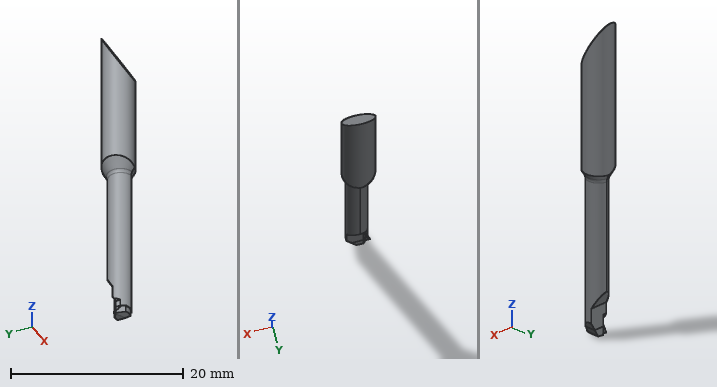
import cadquery as cq
import math


LENGTH = 40.7
SHANK_RADIUS = 2.0
NECK_RADIUS = 1.55
NECK_OFFSET = 0.5
TAPER_ANGLE = 30.0
NECK_TOP = 20.35
SHOULDER_FILLET = 0.98

TIP_HEIGHT = 1.22
FLAT_Y = 0.3
FLAT_HEIGHT = 4.15
HEEL_START = 2.3

CORNER_X = -1.42
RAKE_Y = -0.1
TIP_RADIUS = 1.42
TIP_ROOT_X = -0.9
HEEL_X = 0.33
HEEL_Z = 0.2
HEEL_SHOULDER_X = 0.53
HEEL_SHOULDER_Z = 0.53
RELIEF_X = -0.65
BACK_RISE = 0.35

FLUTE_X = -0.5
FLUTE_TOP = 2.73
FLUTE_RAKE_TOP = 2.1
NOTCH_TOP = 2.32

MARGIN = 2.05

slope = math.tan(math.radians(TAPER_ANGLE))
fillet_height = SHOULDER_FILLET * math.sin(math.radians(TAPER_ANGLE))
fillet_growth = SHOULDER_FILLET * (1 - math.cos(math.radians(TAPER_ANGLE)))
limit = SHANK_RADIUS + MARGIN


def neck_envelope(center_x):
    """Round neck that opens through a fillet and a cone, wider than the shank at its top."""
    half_angle = math.radians(TAPER_ANGLE / 2)
    fillet_middle = (
        NECK_RADIUS + SHOULDER_FILLET * (1 - math.cos(half_angle)),
        NECK_TOP + SHOULDER_FILLET * math.sin(half_angle),
    )
    cone_radius = NECK_RADIUS + fillet_growth
    cone_bottom = NECK_TOP + fillet_height
    cone_top = cone_bottom + (limit - cone_radius) / slope
    profile = (
        cq.Workplane("XZ")
        .lineTo(NECK_RADIUS, 0)
        .lineTo(NECK_RADIUS, NECK_TOP)
        .threePointArc(fillet_middle, (cone_radius, cone_bottom))
        .lineTo(limit, cone_top)
        .lineTo(limit, LENGTH)
        .lineTo(0, LENGTH)
        .close()
    )
    return profile.revolve(360, (0, 0, 0), (0, 1, 0)).translate((center_x, 0, 0))


def top_bevel():
    """Wedge above the slanted top face, which is highest on the +Y side."""
    drop = 2 * SHANK_RADIUS / slope
    return (
        cq.Workplane("YZ")
        .polyline([
            (SHANK_RADIUS, LENGTH),
            (-SHANK_RADIUS, LENGTH - drop),
            (-SHANK_RADIUS, LENGTH),
        ])
        .close()
        .extrude(limit, both=True)
    )


def end_flat():
    """Material milled off the +Y side of the neck end, with a slanted run-out."""
    return (
        cq.Workplane("YZ")
        .polyline([
            (FLAT_Y, -MARGIN),
            (FLAT_Y, FLAT_HEIGHT),
            (limit, FLAT_HEIGHT + (limit - FLAT_Y) / slope),
            (limit, -MARGIN),
        ])
        .close()
        .extrude(limit, both=True)
    )


def heel_cut():
    """Material cut off the lower +X side at the taper angle."""
    return (
        cq.Workplane("XZ")
        .polyline([
            (NECK_RADIUS, HEEL_START),
            (NECK_RADIUS - HEEL_START * slope, 0),
            (limit, 0),
            (limit, HEEL_START),
        ])
        .close()
        .extrude(limit, both=True)
    )


def chip_flute():
    """Chip space in front of the cutting face, with a slanted floor and a sloping top."""
    floor = (
        cq.Workplane("XY")
        .polyline([
            (FLUTE_X, FLAT_Y),
            (TIP_ROOT_X, RAKE_Y),
            (-limit, RAKE_Y),
            (-limit, FLAT_Y),
        ])
        .close()
        .extrude(FLUTE_TOP)
    )
    side = (
        cq.Workplane("YZ")
        .polyline([
            (RAKE_Y, 0),
            (RAKE_Y, FLUTE_RAKE_TOP),
            (FLAT_Y, FLUTE_TOP),
            (FLAT_Y, 0),
        ])
        .close()
        .extrude(limit, both=True)
    )
    return floor.intersect(side)


def corner_notch():
    """Relief on the -X side of the neck just above the cutting corner."""
    neck_side = NECK_OFFSET - NECK_RADIUS
    run_out = (TIP_ROOT_X - neck_side) / slope
    return (
        cq.Workplane("XZ")
        .polyline([
            (TIP_ROOT_X, TIP_HEIGHT),
            (TIP_ROOT_X, NOTCH_TOP - run_out),
            (neck_side, NOTCH_TOP),
            (neck_side, TIP_HEIGHT),
        ])
        .close()
        .extrude(limit, both=True)
    )


def make_holder():
    shank = cq.Workplane("XY").workplane(offset=TIP_HEIGHT).circle(SHANK_RADIUS).extrude(LENGTH - TIP_HEIGHT)
    holder = shank.intersect(neck_envelope(0)).intersect(neck_envelope(NECK_OFFSET))
    for cutter in (top_bevel(), end_flat(), heel_cut(), chip_flute(), corner_notch()):
        holder = holder.cut(cutter)
    return holder


def make_tip():
    heel_top_x = NECK_RADIUS - (HEEL_START - TIP_HEIGHT) * slope
    silhouette = (
        cq.Workplane("XZ")
        .polyline([
            (TIP_ROOT_X, TIP_HEIGHT),
            (CORNER_X, 0),
            (HEEL_X, HEEL_Z),
            (HEEL_SHOULDER_X, HEEL_SHOULDER_Z),
            (heel_top_x, TIP_HEIGHT),
        ])
        .close()
        .extrude(limit, both=True)
    )

    relief_y = -math.sqrt(TIP_RADIUS**2 - RELIEF_X**2)
    heel_y = -math.sqrt(TIP_RADIUS**2 - heel_top_x**2)
    plan = (
        cq.Workplane("XY")
        .moveTo(CORNER_X, FLAT_Y)
        .lineTo(CORNER_X, RAKE_Y)
        .lineTo(RELIEF_X, relief_y)
        .threePointArc((0, -TIP_RADIUS), (heel_top_x, heel_y))
        .lineTo(heel_top_x, FLAT_Y)
        .close()
        .extrude(TIP_HEIGHT)
    )

    end_relief = (
        cq.Workplane("YZ")
        .polyline([(RAKE_Y, 0), (-TIP_RADIUS, BACK_RISE), (-TIP_RADIUS, 0)])
        .close()
        .extrude(limit, both=True)
    )
    return silhouette.intersect(plan).cut(chip_flute()).cut(end_relief)


holder = make_holder()
tip = make_tip()

result = cq.Compound.makeCompound([holder.val(), tip.val()])